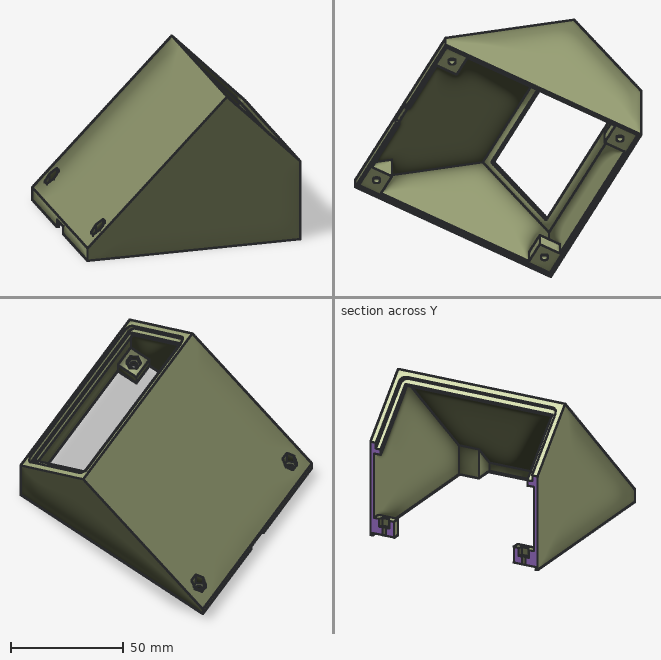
import cadquery as cq
import math

width = 85.0
depth = 99.25
height = 71.1
front_height = 6.0
ridge_y = height - front_height
back_height = height - (depth - ridge_y)

wall = 2.0
display_wall = 4.0

base_thickness = 1.2
base_rim = 1.0

bezel_side = 2.8
bezel_back = 2.2
bezel_length = 43.2
bezel_depth = 2.0
bezel_radius = 3.0
window_side = 5.2
window_back = 3.5
window_length = 39.2

post_size = 12.1
back_post_top = 8.9
screw_inset = 7.0
screw_diameter = 3.2
nut_across_flats = 5.7
nut_seat = 5.2

notch_width = 9.1
notch_height = 3.6


def block(x0, x1, y0, y1, z0, z1):
    """Box between two opposite corners."""
    return cq.Workplane("XY").box(x1 - x0, y1 - y0, z1 - z0, centered=False).translate((x0, y0, z0))


def side_profile(points, x0, x1):
    """Extrude a (Y, Z) outline from x0 to x1."""
    return cq.Workplane("YZ").polyline(points).close().extrude(x1 - x0).translate((x0, 0, 0))


def display_cut(side, back, length, cut_depth):
    """Rectangular prism square to the display face."""
    plane = cq.Plane(origin=(width / 2, depth, back_height), xDir=(1, 0, 0), normal=(0, -1, -1))
    return (
        cq.Workplane(plane)
        .center(0, back + length / 2)
        .rect(width - 2 * side, length)
        .extrude(cut_depth)
    )


envelope = side_profile(
    [(0, 0), (depth, 0), (depth, back_height), (ridge_y, height), (0, front_height)], 0, width
)

front_drop = wall * math.sqrt(2)
display_drop = display_wall * math.sqrt(2)
inner_front = front_height + wall - front_drop
inner_back = back_height + wall - display_drop
inner_ridge_y = ridge_y + (front_drop - display_drop) / 2
inner_ridge_z = height - (front_drop + display_drop) / 2
cavity = side_profile(
    [
        (wall, 0),
        (depth - wall, 0),
        (depth - wall, inner_back),
        (inner_ridge_y, inner_ridge_z),
        (wall, inner_front),
    ],
    wall,
    width - wall,
)

for x in (0, width - post_size):
    for y, top in ((0, height), (depth - post_size, back_post_top)):
        cavity = cavity.cut(block(x, x + post_size, y, y + post_size, 0, top))
body = envelope.cut(cavity)

body = body.cut(block(base_rim, width - base_rim, base_rim, depth - base_rim, 0, base_thickness))

bezel = display_cut(bezel_side, bezel_back, bezel_length, bezel_depth)
bezel = bezel.edges("|(0,1,1)").fillet(bezel_radius)
window = display_cut(window_side, window_back, window_length, display_wall)
body = body.cut(bezel).cut(window)

screw_points = [
    (x, y) for x in (screw_inset, width - screw_inset) for y in (screw_inset, depth - screw_inset)
]
nut_across_corners = nut_across_flats / math.cos(math.pi / 6)
screws = cq.Workplane("XY").pushPoints(screw_points).circle(screw_diameter / 2).extrude(nut_seat)
nuts = (
    cq.Workplane("XY")
    .workplane(offset=nut_seat)
    .pushPoints(screw_points)
    .polygon(6, nut_across_corners)
    .extrude(2 * screw_inset)
)
body = body.cut(screws).cut(nuts)

notch_x = (width - notch_width) / 2
result = body.cut(block(notch_x, notch_x + notch_width, 0, wall, 0, notch_height))